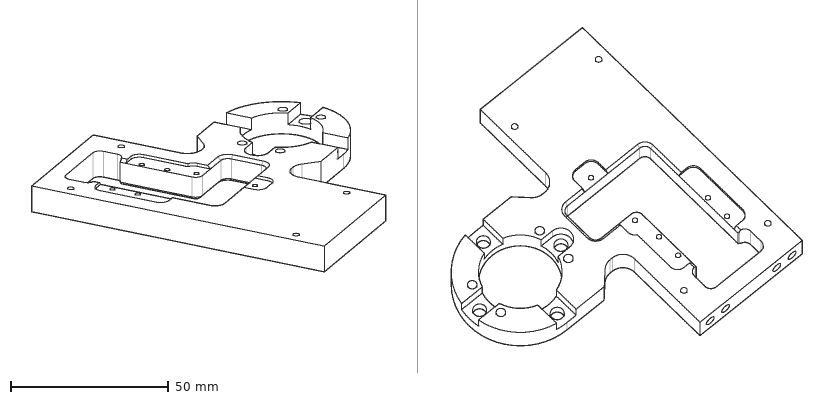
import cadquery as cq
import math

length = 104.0
plate_width = 44.0
thickness = 9.0
mid_x = length / 2
mid_y = plate_width / 2

total_width = 96.0
head_radius = plate_width / 2
head_y = total_width - head_radius
bore_diameter = 26.5
recess_diameter = 41.4
recess_depth = 1.7
neck_half_width = 16.0
shoulder_y = 57.9
neck_fillet = 5.0

slot_width = 8.0
slot_depth = 4.1
bolt_radius = 17.5
bolt_diameter = 4.5
pin_radius = 16.0
pin_angle = 25.0
pin_diameter = 3.0

window_right = 59.9
window_leg_left = 44.1
window_top = 49.0
window_width = 18.0
window_half_width = window_width / 2
window_fillet = 2.5
window_chamfer = 1.0
window_chamfer_angle = 45
relief_left = 6.0
relief_right = 16.0
relief_half_width = 12.1
relief_fillet = 2.5

seat_depth = 1.0
seat_fillet = 3.0
long_seat_left = 18.1
long_seat_half_width = 15.5
cross_seat_half_length = 15.5
cross_seat_width = 10.0
cross_seat_y = 34.1

drill_point_angle = 118.0
seat_hole_diameter = 1.7
seat_hole_depth = 4.2
long_seat_hole_xs = (23.0, 32.0)
long_seat_hole_offset = 10.5
cross_seat_hole_offset = 10.4
corner_hole_diameter = 2.1
corner_hole_depth = 5.2
corner_hole_edge_x = 12.0
corner_hole_edge_y = 4.0
side_hole_diameter = 3.3
side_hole_depth = 4.2
side_hole_offsets = (11.0, 17.6)


def block(x_min, x_max, y_min, y_max, z_min, z_max):
    """Rectangular block between two opposite corners."""
    size = (x_max - x_min, y_max - y_min, z_max - z_min)
    return cq.Workplane("XY", origin=(x_min, y_min, z_min)).box(*size, centered=False)


def drill(position, direction, diameter, depth):
    """Cylinder with a conical tip, used to cut one blind hole."""
    radius = diameter / 2
    tip = radius / math.tan(math.radians(drill_point_angle / 2))
    start = cq.Vector(*position)
    axis = cq.Vector(*direction)
    shank = cq.Solid.makeCylinder(radius, depth, start, axis)
    cone = cq.Solid.makeCone(radius, 0, tip, start + axis * depth, axis)
    return shank.fuse(cone)


def make_body():
    """Plate, necked shoulder and round head."""
    neck_corner_y = shoulder_y - (head_radius - neck_half_width)
    right_side = [
        (neck_half_width, plate_width),
        (neck_half_width, neck_corner_y),
        (head_radius, shoulder_y),
        (head_radius, head_y),
    ]
    right = [(mid_x + x, y) for x, y in right_side]
    left = [(mid_x - x, y) for x, y in reversed(right_side)]
    outline = cq.Workplane("XY").polyline([(0, plate_width), (0, 0), (length, 0), (length, plate_width)])
    for point in right:
        outline = outline.lineTo(*point)
    outline = outline.threePointArc((mid_x, total_width), left[0])
    for point in left[1:]:
        outline = outline.lineTo(*point)
    body = outline.close().extrude(thickness)
    for side in (-1, 1):
        for y in (plate_width, neck_corner_y):
            corner = (mid_x + side * neck_half_width, y, thickness / 2)
            body = body.edges(cq.selectors.NearestToPointSelector(corner)).fillet(neck_fillet)
    return body


def cut_head(body):
    """Bore, underside recess, radial slots and through holes of the ring."""
    head = cq.Workplane("XY", origin=(mid_x, head_y, 0))
    body = body.cut(head.circle(bore_diameter / 2).extrude(thickness))
    body = body.cut(head.circle(recess_diameter / 2).extrude(recess_depth))

    floor = thickness - slot_depth
    half = slot_width / 2
    body = body.cut(
        block(mid_x - head_radius, mid_x + head_radius, head_y - half, head_y + half, floor, thickness)
    )
    slot_end_y = head_y - bolt_radius
    body = body.cut(block(mid_x - half, mid_x + half, slot_end_y, total_width, floor, thickness))
    slot_end = cq.Workplane("XY", origin=(mid_x, slot_end_y, floor))
    body = body.cut(slot_end.circle(half).extrude(slot_depth))

    bolts = head.polarArray(bolt_radius, 0, 360, 4).circle(bolt_diameter / 2).extrude(thickness)
    pin_x = pin_radius * math.sin(math.radians(pin_angle))
    pin_y = pin_radius * math.cos(math.radians(pin_angle))
    pins = head.rect(2 * pin_x, 2 * pin_y, forConstruction=True).vertices()
    pins = pins.circle(pin_diameter / 2).extrude(thickness)
    return body.cut(bolts).cut(pins)


def cut_window(body):
    """L-shaped window with its rim chamfered on both faces, and the relief at its left end."""
    bottom = mid_y - window_half_width
    inner = mid_y + window_half_width
    window_left = (relief_left + relief_right) / 2
    window = (
        cq.Workplane("XY")
        .polyline([
            (window_left, bottom),
            (window_right, bottom),
            (window_right, window_top),
            (window_leg_left, window_top),
            (window_leg_left, inner),
            (window_left, inner),
        ])
        .close()
        .extrude(thickness)
        .edges("|Z and (not <X)")
        .fillet(window_fillet)
    )
    relief = block(
        relief_left, relief_right, mid_y - relief_half_width, mid_y + relief_half_width, 0, thickness
    )
    relief = relief.edges("|Z").fillet(relief_fillet)
    rim_outline = window.faces("<Z").wires().val().translate(cq.Vector(0, 0, thickness - window_chamfer))
    top_rim = cq.Workplane(
        cq.Solid.extrudeLinear(rim_outline, [], cq.Vector(0, 0, window_chamfer), taper=-window_chamfer_angle)
    )
    bottom_rim = top_rim.mirror("XY", (0, 0, thickness / 2))
    return body.cut(window).cut(top_rim).cut(bottom_rim).cut(relief)


def cut_seats(body):
    """Two crossing shallow seats with rounded corners."""
    floor = thickness - seat_depth
    long_seat = block(
        long_seat_left, window_leg_left,
        mid_y - long_seat_half_width, mid_y + long_seat_half_width, floor, thickness,
    )
    cross_seat = block(
        mid_x - cross_seat_half_length, mid_x + cross_seat_half_length,
        cross_seat_y - cross_seat_width / 2, cross_seat_y + cross_seat_width / 2, floor, thickness,
    )
    for seat in (long_seat, cross_seat):
        body = body.cut(seat.edges("|Z").fillet(seat_fillet))
    return body


def cut_blind_holes(body):
    """Drilled holes in the seats, at the plate corners and in the left end face."""
    down = (0, 0, -1)
    seat_floor = thickness - seat_depth
    for side in (-1, 1):
        for x in long_seat_hole_xs:
            place = (x, mid_y + side * long_seat_hole_offset, seat_floor)
            body = body.cut(drill(place, down, seat_hole_diameter, seat_hole_depth))

        place = (mid_x + side * cross_seat_hole_offset, cross_seat_y, seat_floor)
        body = body.cut(drill(place, down, seat_hole_diameter, seat_hole_depth))

        corner_y = mid_y + side * (mid_y - corner_hole_edge_y)
        for x in (corner_hole_edge_x, length - corner_hole_edge_x):
            place = (x, corner_y, thickness)
            body = body.cut(drill(place, down, corner_hole_diameter, corner_hole_depth))

        for offset in side_hole_offsets:
            place = (0, mid_y + side * offset, thickness / 2)
            body = body.cut(drill(place, (1, 0, 0), side_hole_diameter, side_hole_depth))
    return body


result = make_body()
for cut_feature in (cut_head, cut_window, cut_seats, cut_blind_holes):
    result = cut_feature(result)